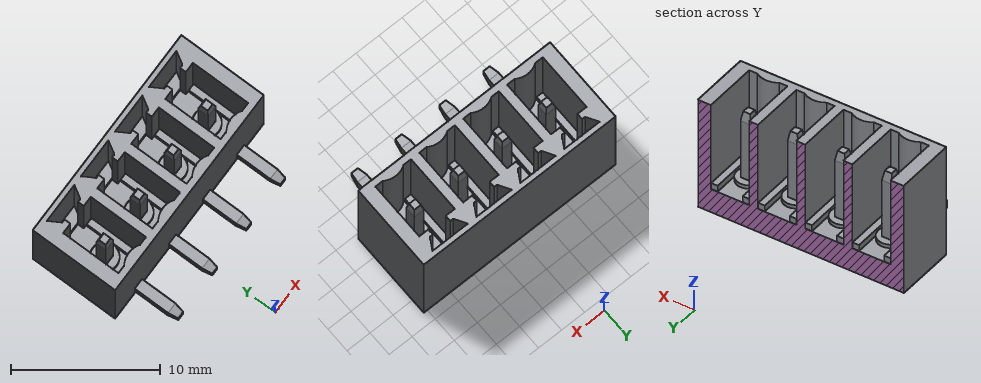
import cadquery as cq

POLE_COUNT = 4
POLE_PITCH = 3.81
BODY_LENGTH = 16.64
BODY_DEPTH = 6.88
BODY_HEIGHT = 9.14

PIN_SIZE = 0.83
PIN_TIP_SIZE = 0.56
PIN_TAPER = 0.77
PIN_Y = 2.81
TAIL_Z = 1.0
TAIL_LENGTH = 3.53
CONTACT_TIP_Z = 7.87

CAVITY_FLOOR_Z = 2.0
CHAMBER_WIDTH = 3.08
CHAMBER_FRONT_Y = 0.52
CHAMBER_BACK_Y = 5.12
NECK_WIDTH = 1.5
NECK_BACK_Y = 5.6
DOVETAIL_FRONT_WIDTH = 2.03
DOVETAIL_BACK_WIDTH = CHAMBER_WIDTH
DOVETAIL_BACK_Y = 6.49

RIB_WIDTH = 1.78
RIB_PROJECTION = 0.28

KEYWAY_STEP_HEIGHT = 0.5
LEDGE_SPACING = 2.02
LEDGE_HEIGHT = 0.5
LEDGE_BACK_GAP = 0.05
COLLAR_DIAMETER = 2.0
COLLAR_HEIGHT = 0.3


def pole_positions():
    first = -POLE_PITCH * (POLE_COUNT - 1) / 2
    return [first + i * POLE_PITCH for i in range(POLE_COUNT)]


def make_chamber(x):
    """Volume of the main chamber and its neck, from the floor up through the top face."""
    half_chamber = CHAMBER_WIDTH / 2
    half_neck = NECK_WIDTH / 2
    half_rib = RIB_WIDTH / 2
    outline = (
        cq.Workplane("XY", origin=(x, 0, CAVITY_FLOOR_Z))
        .moveTo(-half_chamber, CHAMBER_FRONT_Y)
        .lineTo(-half_rib, CHAMBER_FRONT_Y)
        .threePointArc((0, CHAMBER_FRONT_Y + RIB_PROJECTION), (half_rib, CHAMBER_FRONT_Y))
        .lineTo(half_chamber, CHAMBER_FRONT_Y)
        .lineTo(half_chamber, CHAMBER_BACK_Y)
        .lineTo(half_neck, CHAMBER_BACK_Y)
        .lineTo(half_neck, NECK_BACK_Y)
        .lineTo(-half_neck, NECK_BACK_Y)
        .lineTo(-half_neck, CHAMBER_BACK_Y)
        .lineTo(-half_chamber, CHAMBER_BACK_Y)
        .close()
    )
    return outline.extrude(BODY_HEIGHT - CAVITY_FLOOR_Z)


def make_keyway(x):
    """Dovetail volume behind the neck, its floor one step above the chamber floor."""
    half_front = DOVETAIL_FRONT_WIDTH / 2
    half_back = DOVETAIL_BACK_WIDTH / 2
    floor_z = CAVITY_FLOOR_Z + KEYWAY_STEP_HEIGHT
    outline = (
        cq.Workplane("XY", origin=(x, 0, floor_z))
        .moveTo(-half_front, NECK_BACK_Y)
        .lineTo(half_front, NECK_BACK_Y)
        .lineTo(half_back, DOVETAIL_BACK_Y)
        .lineTo(-half_back, DOVETAIL_BACK_Y)
        .close()
    )
    return outline.extrude(BODY_HEIGHT - floor_z)


def make_floor_details(x):
    """Two side ledges and the collar standing on the floor of one cavity."""
    collar = (
        cq.Workplane("XY", origin=(x, PIN_Y, CAVITY_FLOOR_Z))
        .circle(COLLAR_DIAMETER / 2)
        .extrude(COLLAR_HEIGHT)
    )
    ledge_width = (CHAMBER_WIDTH - LEDGE_SPACING) / 2
    ledge_length = CHAMBER_BACK_Y - LEDGE_BACK_GAP - CHAMBER_FRONT_Y
    ledge_offset = (LEDGE_SPACING + ledge_width) / 2
    ledge_y = CHAMBER_FRONT_Y + ledge_length / 2
    ledges = (
        cq.Workplane("XY", origin=(x, ledge_y, CAVITY_FLOOR_Z))
        .pushPoints([(-ledge_offset, 0), (ledge_offset, 0)])
        .rect(ledge_width, ledge_length)
        .extrude(LEDGE_HEIGHT)
    )
    return collar.union(ledges)


def make_tapered_bar(start_plane, length):
    """Square bar of the given length whose far end narrows to the pin tip."""
    shank_length = length - PIN_TAPER
    shank = start_plane.rect(PIN_SIZE, PIN_SIZE).extrude(shank_length)
    tip = (
        start_plane.workplane(offset=shank_length)
        .rect(PIN_SIZE, PIN_SIZE)
        .workplane(offset=PIN_TAPER)
        .rect(PIN_TIP_SIZE, PIN_TIP_SIZE)
        .loft(ruled=True)
    )
    return shank.union(tip)


def make_pin(x):
    """Right-angle pin: contact pointing up, solder tail pointing to -Y."""
    contact_start = cq.Workplane("XY", origin=(x, PIN_Y, TAIL_Z))
    contact = make_tapered_bar(contact_start, CONTACT_TIP_Z - TAIL_Z)
    tail_start = cq.Workplane("XZ", origin=(x, PIN_Y, TAIL_Z))
    tail = make_tapered_bar(tail_start, PIN_Y + TAIL_LENGTH)
    return contact.union(tail)


result = cq.Workplane("XY").box(BODY_LENGTH, BODY_DEPTH, BODY_HEIGHT, centered=(True, False, False))
for pole_x in pole_positions():
    result = result.cut(make_chamber(pole_x))
    result = result.cut(make_keyway(pole_x))
    result = result.union(make_floor_details(pole_x))
    result = result.union(make_pin(pole_x))